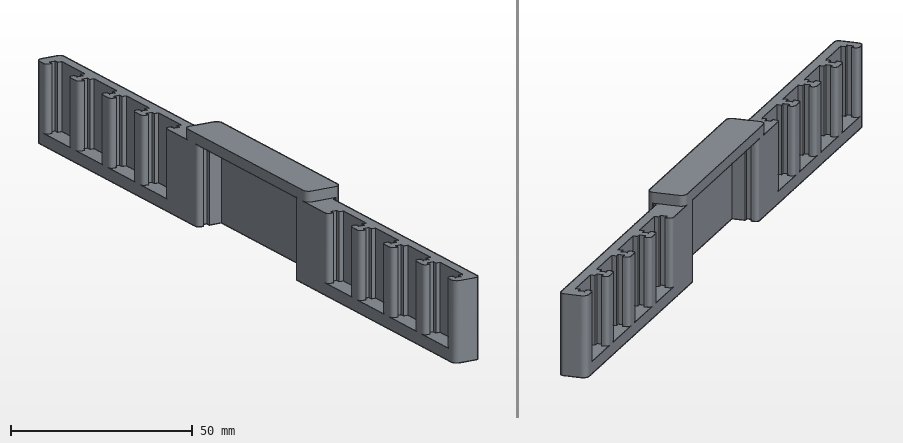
import cadquery as cq

length = 225.2
total_depth = 11.0
total_height = 27.0
bar_depth = 8.0
bar_height = 23.9
body_length = 65.8

front_radius = 1.8
bar_rear_radius = 1.4
joint_radius = 1.4

cavity_center_x = 0.5

pockets_per_side = 4
pocket_pitch = 17.3
pocket_width = 12.2
pocket_depth = 5.2
pocket_floor_height = 3.5
outer_pocket_offset = 101.8

recess_width = 52.5
recess_depth = 7.7

groove_depth = 1.4
groove_front = 2.0
groove_rear = 3.8
lip_radius = 1.1

front_y = -total_depth / 2
bar_rear_y = front_y + bar_depth
diagonal = 0.5**0.5


def front_block(x_size, y_size, z_size):
    """Box centred on X, standing on z = 0 with its front on the front plane."""
    block = cq.Workplane("XY").box(x_size, y_size, z_size, centered=(True, False, False))
    return block.translate((0, front_y, 0))


def joint_blend(side):
    """Concave blend between the rear of the bar and one end of the body."""
    corner_x = side * body_length / 2
    outer_x = corner_x + side * joint_radius
    outer_y = bar_rear_y + joint_radius
    mid_x = outer_x - side * joint_radius * diagonal
    mid_y = outer_y - joint_radius * diagonal
    return (
        cq.Workplane("XY")
        .moveTo(corner_x, bar_rear_y)
        .lineTo(outer_x, bar_rear_y)
        .threePointArc((mid_x, mid_y), (corner_x, outer_y))
        .close()
        .extrude(bar_height)
    )


def front_cavity(offset, width, depth, floor_height):
    """Cavity open to the front, with a groove in each side wall and rounded front lips."""
    half_width = width / 2
    half_groove = half_width + groove_depth
    half_mouth = half_width + lip_radius
    lip_mid = lip_radius * (1 - diagonal)
    right_half = (
        cq.Workplane("XY")
        .lineTo(half_mouth, 0)
        .threePointArc((half_width + lip_mid, lip_mid), (half_width, lip_radius))
        .lineTo(half_width, groove_front)
        .lineTo(half_groove, groove_front)
        .lineTo(half_groove, groove_rear)
        .lineTo(half_width, groove_rear)
        .lineTo(half_width, depth)
        .lineTo(0, depth)
    )
    cavity = right_half.mirrorY().extrude(bar_height - floor_height)
    return cavity.translate((cavity_center_x + offset, front_y, floor_height))


bar = front_block(length, bar_depth, bar_height)
bar = bar.edges("|Z and <Y").fillet(front_radius)
bar = bar.edges("|Z and >Y").fillet(bar_rear_radius)

body = front_block(body_length, total_depth, total_height)
body = body.edges("|Z").fillet(front_radius)
result = bar.union(body)
for side in (-1, 1):
    result = result.union(joint_blend(side))

for side in (-1, 1):
    for index in range(pockets_per_side):
        pocket_offset = side * (outer_pocket_offset - index * pocket_pitch)
        pocket = front_cavity(pocket_offset, pocket_width, pocket_depth, pocket_floor_height)
        result = result.cut(pocket)

result = result.cut(front_cavity(0, recess_width, recess_depth, 0))